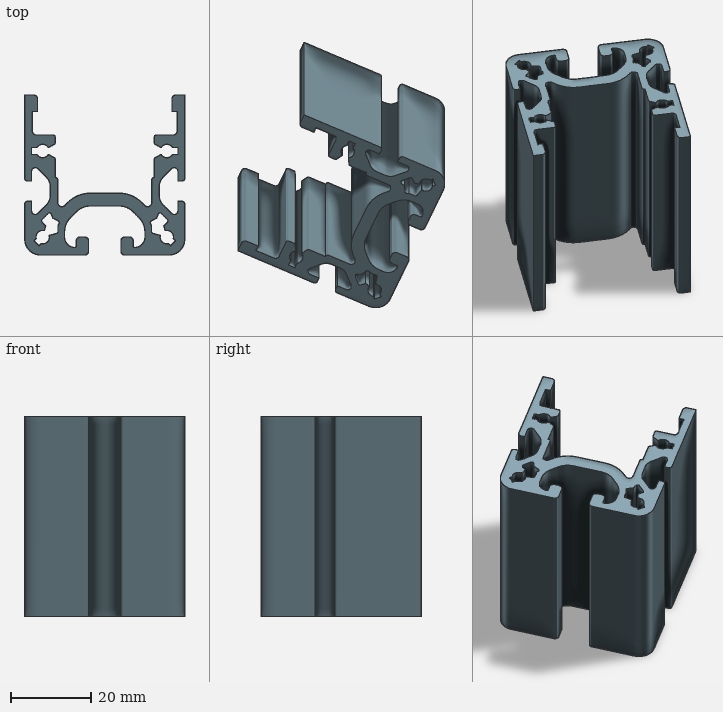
import cadquery as cq
import math


width = 40.0
depth = 40.0
length = 50.0

base_corner_radius = 4.0
side_wall = 1.75

tip_width = 3.25
tip_underside = 35.85
tip_radius = 1.0
tip_wall = 1.95
ledge_top = 30.0
ledge_root_radius = 1.0
ledge_inset = 7.65
ledge_radius = 0.5

bore_radius = 1.65
channel_half_width = 0.85
throat_reach = 1.5
flare_angle = 30.0
flare_slope = math.tan(math.radians(flare_angle))
side_bore_inset = 4.5
side_bore_height = 26.0
side_channel_back = side_bore_inset - side_wall
corner_bore_inset = 4.5
corner_channel_angle = 45.0
corner_channel_back = 2.15

side_slot_centre = 16.0
side_slot_half_mouth = 2.5
side_slot_lip_radius = 0.75
side_slot_floor = 6.35
side_slot_floor_radius = 3.25
side_slot_diagonal = 8.85
side_slot_pocket_radius = 0.9

inner_wall_inset = 8.3
inner_step_height = 19.4
inner_step_radius = 0.6
notch_radius = 1.0
web_top = 15.5
web_underside = 12.25
web_top_diagonal = 2.4
web_underside_diagonal = -2.1
web_underside_radius = 5.0
web_top_radius = 8.0

base_slot_half_mouth = 4.0
base_wall = 1.95
base_slot_wall = 10.0
base_slot_corner_radius = 2.5
hook_width = 3.15
hook_height = 4.55
hook_radius = 1.0
hook_root_radius = 0.3

chamber_shoulder = 2.55
chamber_diagonal = 4.55
chamber_wall_inset = 8.3
chamber_wall_top = 7.4
chamber_radius = 0.5
chamber_nose = (8.75, 8.35)
chamber_notch = (7.0, 9.25)
chamber_apex_inset = 6.4


def rounded_outline(corners):
    """Closed wire through (x, y, radius) corners; a zero radius stays sharp."""
    outline = None
    for i, (x, y, radius) in enumerate(corners):
        before = corners[i - 1]
        after = corners[(i + 1) % len(corners)]
        corner = cq.Vector(x, y)
        back = (cq.Vector(before[0], before[1]) - corner).normalized()
        ahead = (cq.Vector(after[0], after[1]) - corner).normalized()
        half_angle = back.getAngle(ahead) / 2
        setback = radius / math.tan(half_angle)
        start = corner + back * setback
        if outline is None:
            outline = cq.Workplane("XY").moveTo(start.x, start.y)
        else:
            outline = outline.lineTo(start.x, start.y)
        if radius > 0:
            bisector = (back + ahead).normalized()
            middle = corner + bisector * (radius / math.sin(half_angle) - radius)
            end = corner + ahead * setback
            outline = outline.threePointArc((middle.x, middle.y), (end.x, end.y))
    return outline.close()


def from_left_side(corners):
    """Turn (inset, height, radius) into X, Y, radius on the left (-X) side."""
    return [(inset - width / 2, height - depth / 2, radius) for inset, height, radius in corners]


def base_slot_corners():
    """Left half of the base slot, from the web underside round to the base face."""
    mouth = width / 2 - base_slot_half_mouth
    hook_back = mouth - hook_width
    return [
        (web_underside - web_underside_diagonal, web_underside, web_underside_radius),
        (base_slot_wall, base_slot_wall + web_underside_diagonal, web_underside_radius),
        (base_slot_wall, base_wall, base_slot_corner_radius),
        (hook_back, base_wall, hook_root_radius),
        (hook_back, hook_height, hook_radius),
        (mouth, hook_height, hook_radius),
        (mouth, 0, hook_radius),
    ]


def side_slot_corners():
    """Slot in the side face, from its lower lip to its upper lip."""
    lower_half = [
        (0, -side_slot_half_mouth, side_slot_lip_radius),
        (side_wall, -side_slot_half_mouth, 0),
        (side_wall, side_wall - side_slot_diagonal, side_slot_pocket_radius),
        (side_slot_floor, side_slot_floor - side_slot_diagonal, side_slot_floor_radius),
    ]
    upper_half = [(inset, -offset, radius) for inset, offset, radius in reversed(lower_half)]
    corners = lower_half + upper_half
    return [(inset, side_slot_centre + offset, radius) for inset, offset, radius in corners]


def arm_corners():
    """Hooked tip, ledge and the flared mouth of the side screw channel."""
    throat = side_bore_inset + throat_reach
    flare_half_width = channel_half_width + (ledge_inset - throat) * flare_slope
    return [
        (0, depth, 0),
        (tip_width, depth, tip_radius),
        (tip_width, tip_underside, 0),
        (tip_wall, tip_underside, 0),
        (tip_wall, ledge_top, ledge_root_radius),
        (ledge_inset, ledge_top, ledge_radius),
        (ledge_inset, side_bore_height + flare_half_width, ledge_radius),
        (throat, side_bore_height + channel_half_width, 0),
        (throat, side_bore_height - channel_half_width, 0),
        (ledge_inset, side_bore_height - flare_half_width, ledge_radius),
    ]


def inner_wall_corners():
    """Inner wall with its small step, the notch and the top of the web."""
    return [
        (ledge_inset, inner_step_height, 0),
        (inner_wall_inset, inner_step_height, inner_step_radius),
        (inner_wall_inset, inner_wall_inset + web_top_diagonal, notch_radius),
        (web_top - web_top_diagonal, web_top, web_top_radius),
    ]


def profile_body():
    left = from_left_side(
        base_slot_corners()
        + [(0, 0, base_corner_radius)]
        + side_slot_corners()
        + arm_corners()
        + inner_wall_corners()
    )
    right = [(-x, y, radius) for x, y, radius in reversed(left)]
    return rounded_outline(left + right).extrude(length)


def screw_channel(inset, height, back, angle):
    """Bore and slot on the left side, opening in the direction of angle."""
    bore = cq.Workplane("XY").circle(bore_radius).extrude(length)
    slot = (
        cq.Workplane("XY")
        .center((throat_reach - back) / 2, 0)
        .rect(throat_reach + back, 2 * channel_half_width)
        .extrude(length)
    )
    channel = bore.union(slot).rotate((0, 0, 0), (0, 0, 1), angle)
    return channel.translate((inset - width / 2, height - depth / 2, 0))


def corner_point(along, across):
    """Inset and height of a point given along and across the corner channel."""
    inset = corner_bore_inset + (along - across) / math.sqrt(2)
    height = corner_bore_inset + (along + across) / math.sqrt(2)
    return inset, height


def corner_chamber():
    """Hollow that the corner screw channel opens into."""
    shoulder_half_width = channel_half_width + (chamber_shoulder - throat_reach) * flare_slope
    throat_low = corner_point(throat_reach, -channel_half_width)
    throat_high = corner_point(throat_reach, channel_half_width)
    shoulder_across = chamber_diagonal / math.sqrt(2)
    flare_rise = math.tan(math.radians(corner_channel_angle - flare_angle))
    flare_end = throat_low[1] + (chamber_wall_inset - throat_low[0]) * flare_rise
    corners = [
        (*throat_low, 0),
        (chamber_wall_inset, flare_end, chamber_radius),
        (chamber_wall_inset, chamber_wall_top, 0),
        (*chamber_nose, chamber_radius),
        (*chamber_notch, 0),
        (chamber_apex_inset, chamber_apex_inset + chamber_diagonal, chamber_radius),
        (*corner_point(chamber_shoulder, shoulder_across), chamber_radius),
        (*corner_point(chamber_shoulder, shoulder_half_width), 0),
        (*throat_high, 0),
    ]
    return rounded_outline(from_left_side(corners)).extrude(length)


left_hollows = (
    screw_channel(side_bore_inset, side_bore_height, side_channel_back, 0)
    .union(screw_channel(corner_bore_inset, corner_bore_inset, corner_channel_back, corner_channel_angle))
    .union(corner_chamber())
)
right_hollows = left_hollows.mirror("YZ")

result = profile_body().cut(left_hollows).cut(right_hollows)